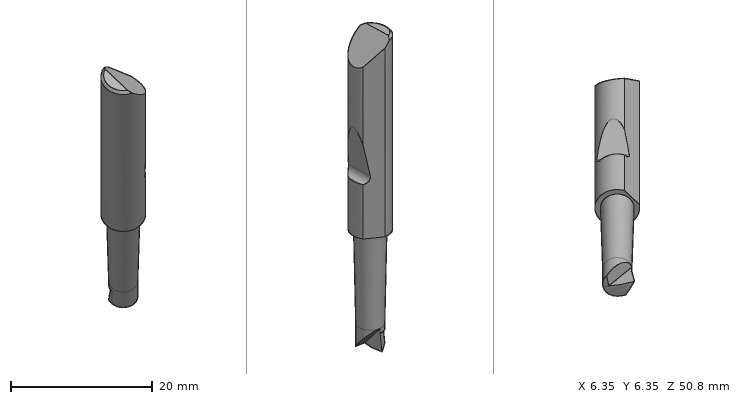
import cadquery as cq
import math

length = 50.8
shank_diameter = 6.35
shank_radius = shank_diameter / 2
shank_start = 19.05
big = 2 * shank_diameter

end_chamfer = 0.4
bevel_edge_y = -1.25
bevel_angle = 45

flat_direction = 60

notch_bottom = 27.85
notch_top = 36.6
notch_floor_angle = 10
notch_corner_radius = 1.05

neck_top_radius = 2.4
head_radius = 2.1
head_top = 3.8

tip_height = 3.0
tip_point_radius = 2.55
tip_lean = 0.45
tip_land = 0.35

pocket_angle = 48

relief_angle = 5.5
relief_apex_x = -0.3


def make_shank():
    """Cylinder with a chamfered rear end, bevelled and flattened."""
    body = (
        cq.Workplane("XY", origin=(0, 0, shank_start))
        .circle(shank_radius)
        .extrude(length - shank_start)
        .faces(">Z")
        .chamfer(end_chamfer)
    )
    bevel_drop = (big - bevel_edge_y) * math.tan(math.radians(bevel_angle))
    bevel = (
        cq.Workplane("YZ")
        .polyline([(bevel_edge_y, length), (big, length), (big, length - bevel_drop)])
        .close()
        .extrude(big, both=True)
    )
    flat_offset = shank_radius * math.sin(math.radians(flat_direction))
    flat = (
        cq.Workplane("XY")
        .box(big, big, length, centered=(True, False, False))
        .translate((0, flat_offset, 0))
        .rotate((0, 0, 0), (0, 0, 1), flat_direction)
    )
    return body.cut(bevel).cut(flat).cut(make_notch())


def make_notch():
    """Ramp with a square lower shoulder, rounded in the corner."""
    floor_depth = (notch_top - notch_bottom) * math.tan(math.radians(notch_floor_angle))
    surface = shank_radius
    return (
        cq.Workplane("YZ")
        .polyline([
            (surface, notch_top),
            (surface - floor_depth, notch_bottom),
            (big, notch_bottom),
            (big, notch_top),
        ])
        .close()
        .extrude(big, both=True)
        .edges(cq.selectors.NearestToPointSelector((0, surface - floor_depth, notch_bottom)))
        .fillet(notch_corner_radius)
    )


def make_neck():
    """Tapered neck that ends in a short straight head."""
    return (
        cq.Workplane("XZ")
        .polyline([
            (0, 0),
            (head_radius, 0),
            (head_radius, head_top),
            (neck_top_radius, shank_start),
            (0, shank_start),
        ])
        .close()
        .revolve(360, (0, 0, 0), (0, 1, 0))
    )


def tip_outline(radius, land):
    """Corner points of the tip section, with its point on the -X axis."""
    return [(0, 0), (-radius, 0), (-land, -head_radius), (0, -head_radius)]


def make_tip():
    """Wedge whose front face leans outward towards the lower end."""
    return (
        cq.Workplane("XY")
        .polyline(tip_outline(tip_point_radius, tip_land + tip_lean))
        .close()
        .workplane(offset=tip_height)
        .polyline(tip_outline(tip_point_radius - tip_lean, tip_land))
        .close()
        .loft(ruled=True)
    )


def make_tip_space():
    """Block covering the head quadrant that the tip replaces."""
    return cq.Workplane("XY").box(big, big, tip_height, centered=False).translate((-big, -big, 0))


def make_pocket():
    """Sloped chip pocket next to the rake face, which lies on the plane Y = 0."""
    pocket_run = head_top / math.tan(math.radians(pocket_angle))
    return (
        cq.Workplane("XZ")
        .polyline([
            (-big, head_top),
            (-head_radius, head_top),
            (pocket_run - head_radius, 0),
            (-big, 0),
        ])
        .close()
        .extrude(-big)
    )


def make_end_relief():
    """Space below an upward-opening cone that rises from the relief apex."""
    rise = big * math.tan(math.radians(relief_angle))
    return (
        cq.Workplane("XZ")
        .polyline([(0, 0), (big, 0), (big, rise)])
        .close()
        .revolve(360, (0, 0, 0), (0, 1, 0))
        .translate((relief_apex_x, 0, 0))
    )


head_and_neck = make_neck().cut(make_tip_space()).union(make_tip())
head_and_neck = head_and_neck.cut(make_pocket()).cut(make_end_relief())
result = make_shank().union(head_and_neck)